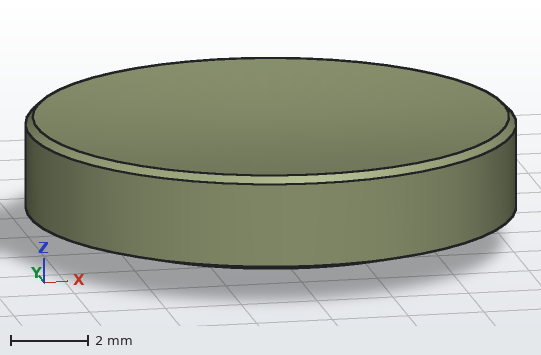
import cadquery as cq

diameter = 12.7
total_height = 3.42
convex_sag = 1.03
concave_sag = 0.38
rim_bevel = 0.19

rim_radius = diameter / 2
concave_radius = rim_radius - rim_bevel


def sphere_height(sag, aperture_radius, r):
    """Height above the vertex, at distance r from the axis, of a spherical cap."""
    sphere_radius = (aperture_radius**2 + sag**2) / (2 * sag)
    return sphere_radius - (sphere_radius**2 - r**2) ** 0.5


convex_middle = (rim_radius / 2, sphere_height(convex_sag, rim_radius, rim_radius / 2))
concave_vertex_z = total_height - concave_sag
concave_middle = (
    concave_radius / 2,
    concave_vertex_z + sphere_height(concave_sag, concave_radius, concave_radius / 2),
)

half_section = (
    cq.Workplane("XZ")
    .moveTo(0, 0)
    .threePointArc(convex_middle, (rim_radius, convex_sag))
    .lineTo(rim_radius, total_height - rim_bevel)
    .lineTo(concave_radius, total_height)
    .threePointArc(concave_middle, (0, concave_vertex_z))
    .close()
)

result = half_section.revolve(360, (0, 0, 0), (0, 1, 0))